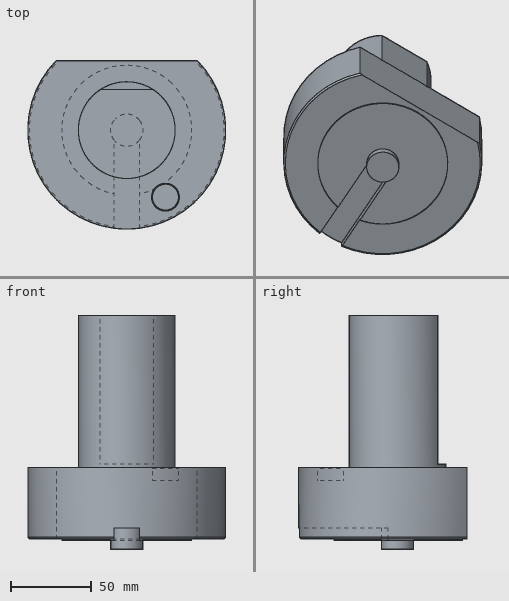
import cadquery as cq
import math

flange_diameter = 122.7
flange_depth = 104.5
flange_flat_y = flange_depth - flange_diameter / 2
flange_bottom = 6.5
flange_top = 50.7
flange_chamfer = 1.0

shank_diameter = 60.0
shank_top = 144.8
shank_flat_y = 25.0
shank_collar_height = 2.0

pad_diameter = 80.5
pad_height = 1.0
pin_diameter = 20.0
pin_bottom = 0.0

slot_width = 16.1
slot_depth = 6.5
slot_top = flange_bottom + slot_depth

hole_diameter = 16.1
hole_depth = 8.0
hole_chamfer = 0.6
hole_circle_radius = 48.0
hole_angle = math.radians(-60)


def cylinder(diameter, bottom, top):
    """Cylinder on the Z axis between two heights."""
    return cq.Workplane("XY").workplane(offset=bottom).circle(diameter / 2).extrude(top - bottom)


def trim_back(body, flat_y, bottom, top):
    """Remove everything behind flat_y between two heights."""
    cutter = (
        cq.Workplane("XY")
        .box(flange_diameter, flange_diameter, top - bottom, centered=(True, False, False))
        .translate((0, flat_y, bottom))
    )
    return body.cut(cutter)


def make_flange():
    disc = cylinder(flange_diameter, flange_bottom, flange_top)
    disc = disc.faces("<Z").chamfer(flange_chamfer)
    return trim_back(disc, flange_flat_y, flange_bottom, flange_top)


def make_shank():
    post = cylinder(shank_diameter, flange_top, shank_top)
    return trim_back(post, shank_flat_y, flange_top + shank_collar_height, shank_top)


def make_slot():
    """Slot from the pin axis out through the front rim."""
    pad_bottom = flange_bottom - pad_height
    return (
        cq.Workplane("XY")
        .box(slot_width, flange_diameter, slot_top - pad_bottom, centered=(True, False, False))
        .translate((0, -flange_diameter, pad_bottom))
    )


def make_hole():
    hole = cylinder(hole_diameter, flange_top - hole_depth, flange_top)
    countersink = (
        cq.Workplane("XY")
        .workplane(offset=flange_top)
        .circle(hole_diameter / 2 + hole_chamfer)
        .workplane(offset=-hole_chamfer)
        .circle(hole_diameter / 2)
        .loft()
    )
    x = hole_circle_radius * math.cos(hole_angle)
    y = hole_circle_radius * math.sin(hole_angle)
    return hole.union(countersink).translate((x, y, 0))


pad = cylinder(pad_diameter, flange_bottom - pad_height, flange_bottom)
pin = cylinder(pin_diameter, pin_bottom, slot_top)

result = make_flange().union(make_shank()).union(pad)
result = result.cut(make_slot()).cut(make_hole()).union(pin)